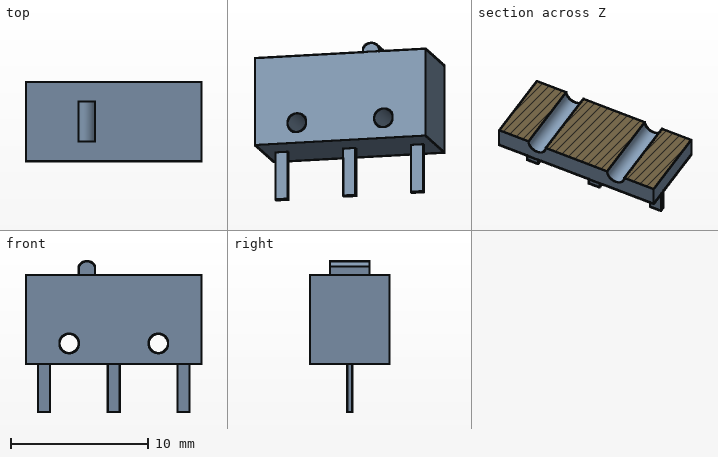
import cadquery as cq

BODY_LENGTH = 12.8
BODY_WIDTH = 5.8
BODY_HEIGHT = 6.5

HOLE_DIAMETER = 1.4
HOLE_SPACING = 6.5
HOLE_HEIGHT = 1.5

TERMINAL_COUNT = 3
TERMINAL_PITCH = 5.08
TERMINAL_WIDTH = 0.9
TERMINAL_THICKNESS = 0.4
TERMINAL_LENGTH = 3.5

PLUNGER_X = -1.95
PLUNGER_WIDTH = 1.2
PLUNGER_LENGTH = 2.9
PLUNGER_HEIGHT = 1.0
PLUNGER_SIDE_HEIGHT = 0.6


def make_housing():
    """Rectangular block with two mounting holes running through along Y."""
    block = cq.Workplane("XY").box(
        BODY_LENGTH, BODY_WIDTH, BODY_HEIGHT, centered=(True, True, False)
    )
    holes = (
        cq.Workplane("XZ")
        .pushPoints([(-HOLE_SPACING / 2, HOLE_HEIGHT), (HOLE_SPACING / 2, HOLE_HEIGHT)])
        .circle(HOLE_DIAMETER / 2)
        .extrude(BODY_WIDTH / 2, both=True)
    )
    return block.cut(holes)


def make_plunger():
    """Button with straight sides and an arched top, extruded along Y."""
    left = PLUNGER_X - PLUNGER_WIDTH / 2
    right = PLUNGER_X + PLUNGER_WIDTH / 2
    shoulder = BODY_HEIGHT + PLUNGER_SIDE_HEIGHT
    crown = BODY_HEIGHT + PLUNGER_HEIGHT
    return (
        cq.Workplane("XZ")
        .moveTo(left, BODY_HEIGHT)
        .lineTo(right, BODY_HEIGHT)
        .lineTo(right, shoulder)
        .threePointArc((PLUNGER_X, crown), (left, shoulder))
        .close()
        .extrude(PLUNGER_LENGTH / 2, both=True)
    )


def make_terminals():
    """Row of flat pins, evenly spaced along X and hanging below the housing."""
    return (
        cq.Workplane("XY")
        .rarray(TERMINAL_PITCH, 1, TERMINAL_COUNT, 1)
        .rect(TERMINAL_WIDTH, TERMINAL_THICKNESS)
        .extrude(-TERMINAL_LENGTH)
    )


result = make_housing().union(make_plunger()).union(make_terminals())